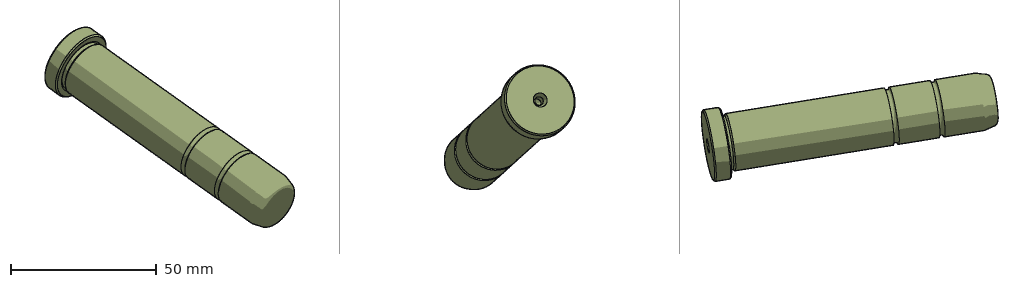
import cadquery as cq
import math

total_length = 100.0
head_diameter = 25.0
head_length = 6.0
head_chamfer = 0.5
shank_radius = 10.0

relief_start = head_length - 0.3
relief_end = 7.8
relief_ramp = 0.6
relief_depth = 0.6

groove_centers = (64.0, 80.0)
groove_width = 1.8
groove_depth = 0.8

taper_start = 95.0
taper_angle = math.radians(15)
tip_round = 2.0

countersink_diameter = 4.9
center_hole_diameter = 3.0
center_hole_depth = 5.0
countersink_half_angle = math.radians(30)
drill_tip_half_angle = math.radians(60)


def make_head():
    return cq.Workplane("YZ").circle(head_diameter / 2).extrude(head_length).edges().chamfer(head_chamfer)


def make_shank():
    """Revolve the shank outline, whose tip round is tangent to taper and end face."""
    round_center_x = total_length - tip_round
    round_start_x = round_center_x + tip_round * math.sin(taper_angle)
    round_start_r = shank_radius - (round_start_x - taper_start) * math.tan(taper_angle)
    round_center_r = round_start_r - tip_round * math.cos(taper_angle)
    mid_angle = (math.pi / 2 + taper_angle) / 2
    round_mid = (
        round_center_x + tip_round * math.sin(mid_angle),
        round_center_r + tip_round * math.cos(mid_angle),
    )
    return (
        cq.Workplane("XY")
        .moveTo(relief_start, 0)
        .lineTo(relief_start, shank_radius)
        .lineTo(taper_start, shank_radius)
        .lineTo(round_start_x, round_start_r)
        .threePointArc(round_mid, (total_length, round_center_r))
        .lineTo(total_length, 0)
        .close()
        .revolve(360, (0, 0, 0), (1, 0, 0))
    )


def make_relief():
    """Ring with a sloped exit that undercuts the head-to-shank corner."""
    floor_radius = shank_radius - relief_depth
    return (
        cq.Workplane("XY")
        .moveTo(relief_start, floor_radius)
        .lineTo(relief_end - relief_ramp, floor_radius)
        .lineTo(relief_end, shank_radius)
        .lineTo(head_length, shank_radius)
        .close()
        .revolve(360, (0, 0, 0), (1, 0, 0))
    )


def make_groove(center_x):
    """Ring with a circular-arc floor."""
    return (
        cq.Workplane("XY")
        .moveTo(center_x - groove_width / 2, shank_radius)
        .threePointArc(
            (center_x, shank_radius - groove_depth),
            (center_x + groove_width / 2, shank_radius),
        )
        .close()
        .revolve(360, (0, 0, 0), (1, 0, 0))
    )


def make_center_hole():
    """Countersunk blind hole with a conical drill tip."""
    mouth_radius = countersink_diameter / 2
    hole_radius = center_hole_diameter / 2
    countersink_depth = (mouth_radius - hole_radius) / math.tan(countersink_half_angle)
    drill_tip_length = hole_radius / math.tan(drill_tip_half_angle)
    return (
        cq.Workplane("XY")
        .moveTo(0, 0)
        .lineTo(0, mouth_radius)
        .lineTo(countersink_depth, hole_radius)
        .lineTo(center_hole_depth, hole_radius)
        .lineTo(center_hole_depth + drill_tip_length, 0)
        .close()
        .revolve(360, (0, 0, 0), (1, 0, 0))
    )


result = make_head().union(make_shank()).cut(make_relief()).cut(make_center_hole())
for groove_center in groove_centers:
    result = result.cut(make_groove(groove_center))